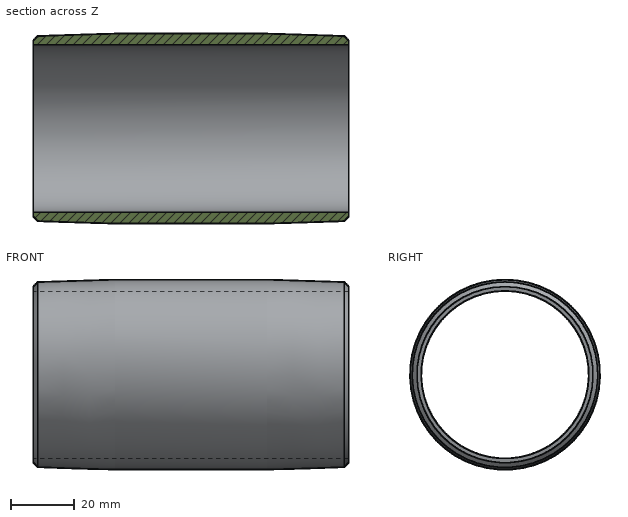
import cadquery as cq

length = 100.0
outer_diameter = 60.3
inner_diameter = 53.0
taper_length = 25.9
taper_ratio = 1 / 16
chamfer_length = 1.4
chamfer_depth = 1.5

half_length = length / 2
outer_radius = outer_diameter / 2
inner_radius = inner_diameter / 2
body_half_length = half_length - taper_length
chamfer_start = half_length - chamfer_length
taper_end_radius = outer_radius - (taper_length - chamfer_length) * taper_ratio / 2
face_radius = taper_end_radius - chamfer_depth

wall_section = (
    cq.Workplane("XZ")
    .moveTo(-half_length, inner_radius)
    .lineTo(-half_length, face_radius)
    .lineTo(-chamfer_start, taper_end_radius)
    .lineTo(-body_half_length, outer_radius)
    .lineTo(body_half_length, outer_radius)
    .lineTo(chamfer_start, taper_end_radius)
    .lineTo(half_length, face_radius)
    .lineTo(half_length, inner_radius)
    .close()
)

result = wall_section.revolve(360, (0, 0, 0), (1, 0, 0))